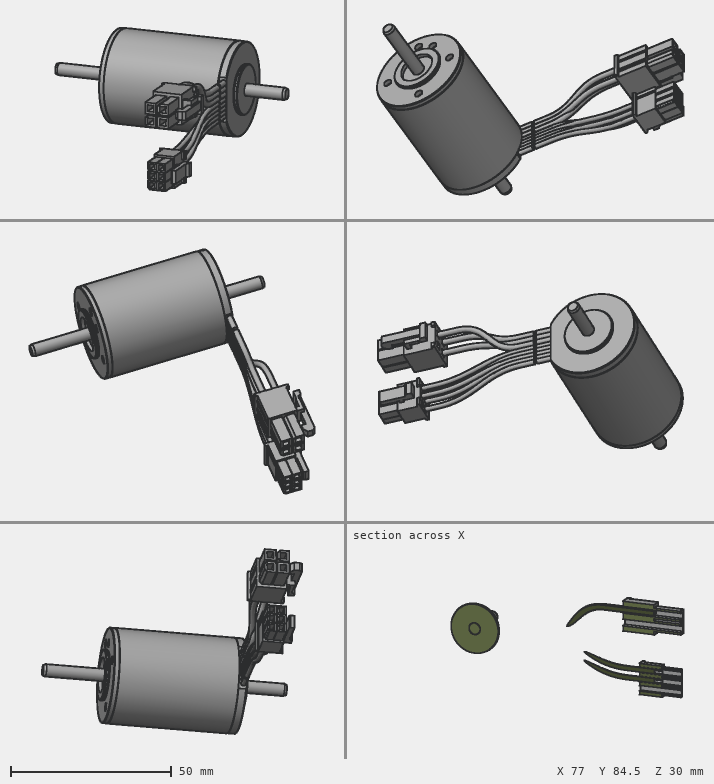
import cadquery as cq
import math


motor_diameter = 30.0
motor_radius = motor_diameter / 2
motor_length = 42.2
flange_thickness = 1.6
end_plate_diameter = 29.9
cap_thickness = 2.5
housing_end = motor_length - cap_thickness
end_chamfer = 0.25
housing_chamfer = 0.2

boss_diameter = 16.05
front_boss_height = 1.3
rear_boss_height = 1.4
boss_recess_diameter = 11.0
boss_neck_diameter = 15.55
boss_neck_width = 0.4

shaft_diameter = 4.0
shaft_length = 77.0
shaft_front_end = -19.85
shaft_chamfer_length = 0.85
shaft_chamfer_depth = 0.3

mount_hole_diameter = 2.5
mount_circle_radius = 11.0
mount_hole_count = 4
extra_hole_radius = 10.0
extra_hole_angle = 120.0

screw_hole_diameter = 1.2
screw_hole_depth = 1.3
screw_hole_angle = 45.0

cable_flat_y = -13.1

cable_x = 41.15
power_wire_diameter = 1.95
signal_wire_diameter = 1.6
power_pitch = 1.8
signal_pitch = 1.395
first_power_z = 5.4
first_signal_z = 0.2
stub_end_y = -18.0
ribbon_start_y = -18.85
ribbon_end_y = -23.7
power_settle = 6.3
signal_settle = 4.2
straight_tail = 2.1
power_socket = 0.85
signal_socket = 0.7
socket_depth = 2.5

overall_depth = 84.5
connector_tip_y = motor_radius - overall_depth

power_z = 10.0
power_rear_y = -50.0
power_body_length = 10.6
power_body_width = 9.55
power_body_height = 9.8
power_flange_width = 11.4
power_flange_gap = 6.7
power_cell_pitch = 4.1
power_cell_size = 3.6
power_cell_chamfer = 0.85
power_cavity = 2.0
power_latch_width = 5.75
power_flange_chamfer = 0.25
power_hook_width = 2.7

signal_z = -9.8
signal_rear_y = -55.6
signal_body_length = 7.6
signal_body_width = 6.7
signal_body_height = 10.2
signal_flange_width = 8.6
signal_flange_gap = 5.0
signal_cell_pitch = 3.0
signal_cell_size = 2.9
signal_cell_chamfer = 0.7
signal_cavity = 1.7
signal_latch_width = 4.2
signal_flange_chamfer = 0.4

connector_flange_thickness = 1.0
rib_height = 0.21


def cylinder_x(diameter, x_start, x_end):
    """Cylinder on the shaft axis."""
    return cq.Workplane("YZ", origin=(x_start, 0, 0)).circle(diameter / 2).extrude(x_end - x_start)


def block(x_range, y_range, z_range):
    """Box given by its limits along each axis."""
    size = [abs(limits[1] - limits[0]) for limits in (x_range, y_range, z_range)]
    corner = [min(limits) for limits in (x_range, y_range, z_range)]
    return cq.Workplane("XY").box(*size, centered=False).translate(tuple(corner))


def shaft_bore(body):
    return body.cut(cylinder_x(shaft_diameter, shaft_front_end, shaft_front_end + shaft_length))


def make_shaft():
    shaft = cylinder_x(shaft_diameter, shaft_front_end, shaft_front_end + shaft_length)
    return shaft.faces("<X or >X").chamfer(shaft_chamfer_length, shaft_chamfer_depth)


def make_front_flange():
    flange = cylinder_x(end_plate_diameter, 0, flange_thickness).faces("<X").chamfer(end_chamfer)
    boss = cylinder_x(boss_diameter, -front_boss_height, -boss_neck_width).faces("<X").chamfer(end_chamfer)
    boss = boss.union(cylinder_x(boss_neck_diameter, -boss_neck_width, 0))
    recess = cylinder_x(boss_recess_diameter, -front_boss_height, 0)
    flange = flange.union(boss).cut(recess)
    centres = [
        (
            mount_circle_radius * math.cos(2 * math.pi * i / mount_hole_count),
            mount_circle_radius * math.sin(2 * math.pi * i / mount_hole_count),
        )
        for i in range(mount_hole_count)
    ]
    extra = math.radians(extra_hole_angle)
    centres.append((extra_hole_radius * math.cos(extra), extra_hole_radius * math.sin(extra)))
    holes = (
        cq.Workplane("YZ").pushPoints(centres).circle(mount_hole_diameter / 2).extrude(flange_thickness)
    )
    return shaft_bore(flange.cut(holes))


def make_housing():
    housing = cylinder_x(motor_diameter, flange_thickness, housing_end)
    return shaft_bore(housing.faces("<X or >X").chamfer(housing_chamfer))


def make_rear_cap():
    cap = cylinder_x(end_plate_diameter, housing_end, motor_length).faces(">X").chamfer(end_chamfer)
    boss_end = motor_length + rear_boss_height
    neck_end = motor_length + boss_neck_width
    boss = cylinder_x(boss_diameter, neck_end, boss_end).faces(">X").chamfer(end_chamfer)
    boss = boss.union(cylinder_x(boss_neck_diameter, motor_length, neck_end))
    flat = block(
        (housing_end, motor_length),
        (-motor_radius, cable_flat_y),
        (-motor_radius, motor_radius),
    )
    screw_hole = (
        cq.Workplane("XY", origin=((housing_end + motor_length) / 2, 0, motor_radius - screw_hole_depth))
        .circle(screw_hole_diameter / 2)
        .extrude(screw_hole_depth)
        .rotate((0, 0, 0), (1, 0, 0), -screw_hole_angle)
    )
    return shaft_bore(cap.cut(flat).cut(screw_hole).union(boss))


def cell_centres(centre_z, pitch, rows):
    """Cavity centres as (x, z), by rows from the top and from -X to +X in each row."""
    top_z = centre_z + pitch * (rows - 1) / 2
    return [
        (cable_x + side * pitch / 2, top_z - row * pitch)
        for row in range(rows)
        for side in (-1, 1)
    ]


power_cells = cell_centres(power_z, power_cell_pitch, 2)
signal_cells = cell_centres(signal_z, signal_cell_pitch, 3)


def square_prism(centre, size, y_start, y_end):
    x, z = centre
    half = size / 2
    return block((x - half, x + half), (y_start, y_end), (z - half, z + half))


def connector_shell(centre_z, rear_y, length, width, height, flange_width, flange_gap,
                    chamfer_edges, chamfer):
    """Rectangular body with a rear flange that is open at the latch on its +X side."""
    z_range = (centre_z - height / 2, centre_z + height / 2)
    half = width / 2
    shell = block((cable_x - half, cable_x + half), (rear_y - length, rear_y), z_range)
    half_flange = flange_width / 2
    flange_y = (rear_y - connector_flange_thickness, rear_y)
    flange = block((cable_x - half_flange, cable_x + half_flange), flange_y, z_range)
    flange = flange.edges(chamfer_edges).chamfer(chamfer)
    gap = block(
        (cable_x + half, cable_x + half_flange),
        flange_y,
        (centre_z - flange_gap / 2, centre_z + flange_gap / 2),
    )
    return shell.union(flange.cut(gap))


def side_rib(centre_z, height, width, rear_y, length):
    """Low rib along the -X side of a connector."""
    side_x = cable_x - width / 2
    return block(
        (side_x - rib_height, side_x),
        (rear_y - length, rear_y),
        (centre_z - height / 2, centre_z + height / 2),
    )


def latch_profile(points, rear_y, centre_z, width):
    """Extrude a latch outline of (offset from the cable, distance ahead of the rear face) points."""
    outline = [(cable_x + across, rear_y - ahead) for across, ahead in points]
    return cq.Workplane("XY", origin=(0, 0, centre_z - width / 2)).polyline(outline).close().extrude(width)


def make_power_connector():
    shell = connector_shell(
        power_z,
        power_rear_y,
        power_body_length,
        power_body_width,
        power_body_height,
        power_flange_width,
        power_flange_gap,
        "|Y",
        power_flange_chamfer,
    )
    for rib_z, rib_width in ((power_cells[0][1], 0.6), (power_cells[2][1], 1.0)):
        shell = shell.union(side_rib(rib_z, rib_width, power_body_width, power_rear_y, power_body_length))

    front_y = power_rear_y - power_body_length
    keyed_cells = (power_cells[1], power_cells[2])
    for centre in power_cells:
        cell = square_prism(centre, power_cell_size, front_y, connector_tip_y)
        if centre in keyed_cells:
            cell = cell.edges("|Y and <X").chamfer(power_cell_chamfer)
        shell = shell.union(cell)
    for centre in power_cells:
        shell = shell.cut(square_prism(centre, power_cavity, power_rear_y, connector_tip_y))

    side = power_body_width / 2
    lever = [
        (side, 7.9), (6.4, 7.9), (6.4, 4.8), (6.7, 4.8), (6.7, 1.95),
        (8.6, 1.95), (8.6, 3.7), (7.6, 4.05), (7.6, 9.4), (side, 9.4),
    ]
    hook = [
        (7.6, 3.7), (8.5, 3.7), (8.5, 16.4), (7.6, 17.0), (6.0, 17.0), (4.9, 15.6),
        (4.9, 13.95), (6.4, 13.95), (6.4, 9.4), (7.6, 9.4),
    ]
    shell = shell.union(latch_profile(lever, power_rear_y, power_z, power_latch_width))
    return shell.union(latch_profile(hook, power_rear_y, power_z, power_hook_width))


def make_signal_connector():
    shell = connector_shell(
        signal_z,
        signal_rear_y,
        signal_body_length,
        signal_body_width,
        signal_body_height,
        signal_flange_width,
        signal_flange_gap,
        "|Z and <Y",
        signal_flange_chamfer,
    )
    rib_z = signal_cells[0][1]
    shell = shell.union(side_rib(rib_z, 0.5, signal_body_width, signal_rear_y, signal_body_length))

    front_y = signal_rear_y - signal_body_length
    for index, centre in enumerate(signal_cells):
        cell = square_prism(centre, signal_cell_size, front_y, connector_tip_y)
        if index % 2 == 0:
            cell = cell.edges("|Y and <X and <Z").chamfer(signal_cell_chamfer)
        shell = shell.union(cell)
    for centre in signal_cells:
        shell = shell.cut(square_prism(centre, signal_cavity, signal_rear_y, connector_tip_y))

    side = signal_body_width / 2
    latch = [
        (side, 5.4), (4.1, 5.4), (4.1, 1.7), (6.8, 1.7), (6.8, 3.4), (5.8, 4.2),
        (5.8, 12.6), (4.65, 12.6), (4.1, 12.25), (4.1, 6.8), (side, 6.8),
    ]
    return shell.union(latch_profile(latch, signal_rear_y, signal_z, signal_latch_width))


power_wires_z = [first_power_z - i * power_pitch for i in range(3)]
signal_wires_z = [first_signal_z - i * signal_pitch for i in range(5)]
power_targets = [power_cells[i] for i in (0, 2, 1)]
signal_targets = [signal_cells[i] for i in (1, 0, 3, 2, 4)]


def straight_wire(x, z, diameter, y_start, y_end):
    return cq.Workplane("XZ", origin=(x, y_start, z)).circle(diameter / 2).extrude(y_start - y_end)


def make_ribbon(y_start, y_end):
    """Flat cable of joined wires."""
    wires = [straight_wire(cable_x, z, power_wire_diameter, y_start, y_end) for z in power_wires_z]
    wires += [straight_wire(cable_x, z, signal_wire_diameter, y_start, y_end) for z in signal_wires_z]
    ribbon = wires[0]
    for wire in wires[1:]:
        ribbon = ribbon.union(wire)
    return ribbon


def loose_wire(start_z, target, diameter, rear_y, settle, length, socket):
    """Wire that bends from the ribbon to its cavity and ends inside the connector as a socket."""
    x, z = target
    bend_end_y = rear_y + settle
    tail_y = rear_y + straight_tail
    end_y = rear_y - length
    path = cq.Workplane("XY").spline(
        [(cable_x, ribbon_end_y, start_z), (x, bend_end_y, z)],
        tangents=[(0, -1, 0), (0, -1, 0)],
    )
    bend = cq.Workplane("XZ", origin=(cable_x, ribbon_end_y, start_z)).circle(diameter / 2).sweep(path)
    lead = straight_wire(x, z, diameter, bend_end_y, tail_y)
    tail = straight_wire(x, z, diameter, tail_y, end_y)
    bore = straight_wire(x, z, socket, end_y + socket_depth, end_y)
    return bend.union(lead).union(tail.cut(bore), clean=False)


def make_harness():
    power_wires = [
        loose_wire(
            z, target, power_wire_diameter, power_rear_y, power_settle, power_body_length, power_socket
        )
        for z, target in zip(power_wires_z, power_targets)
    ]
    signal_wires = [
        loose_wire(
            z, target, signal_wire_diameter, signal_rear_y, signal_settle, signal_body_length, signal_socket
        )
        for z, target in zip(signal_wires_z, signal_targets)
    ]
    harness = make_ribbon(ribbon_start_y, ribbon_end_y)
    for wire in power_wires + signal_wires:
        harness = harness.union(wire, clean=False)
    return harness


shaft = make_shaft()
front_flange = make_front_flange()
housing = make_housing()
rear_cap = make_rear_cap()
cable_stub = make_ribbon(cable_flat_y, stub_end_y)
harness = make_harness()
power_connector = make_power_connector()
signal_connector = make_signal_connector()

bodies = [shaft, front_flange, housing, rear_cap, cable_stub, harness, power_connector, signal_connector]
result = cq.Compound.makeCompound([body.val() for body in bodies])